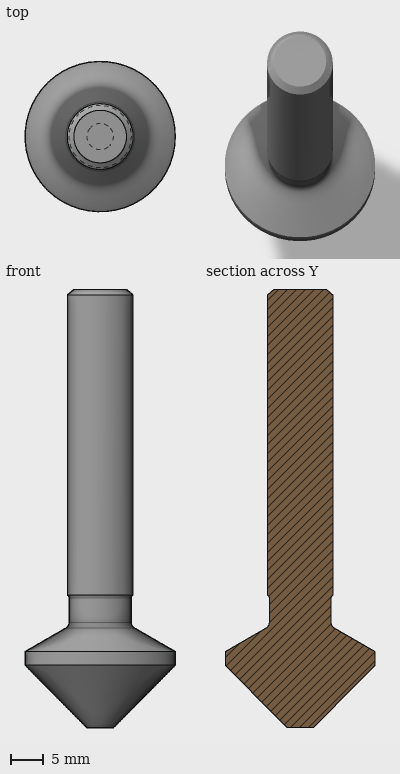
import cadquery as cq
import math

total_height = 67.0

head_radius = 23.0 / 2
tip_radius = 2.0
belt_bottom = 9.6
belt_height = 2.1
back_slope = math.radians(30)

neck_radius = 4.75
neck_top = 19.8
undercut_radius = 0.5
neck_fillet_radius = 1.0
shank_radius = 5.0

end_bevel_width = 1.0
end_bevel_height = 0.9

belt_top = belt_bottom + belt_height
cone_meets_neck = belt_top + (head_radius - neck_radius) * math.tan(back_slope)
turn_angle = math.pi / 2 - back_slope
tangent_length = neck_fillet_radius * math.tan(turn_angle / 2)
fillet_start = (
    neck_radius + tangent_length * math.cos(back_slope),
    cone_meets_neck - tangent_length * math.sin(back_slope),
)
fillet_end = (neck_radius, cone_meets_neck + tangent_length)
fillet_center = (neck_radius + neck_fillet_radius, fillet_end[1])
mid_angle = math.pi + turn_angle / 2
fillet_middle = (
    fillet_center[0] + neck_fillet_radius * math.cos(mid_angle),
    fillet_center[1] + neck_fillet_radius * math.sin(mid_angle),
)

undercut_angle = math.acos(1 - (shank_radius - neck_radius) / undercut_radius)


def undercut_point(angle):
    return (
        neck_radius + undercut_radius * (1 - math.cos(angle)),
        neck_top + undercut_radius * math.sin(angle),
    )


profile = (
    cq.Workplane("XZ")
    .moveTo(0, 0)
    .lineTo(tip_radius, 0)
    .lineTo(head_radius, belt_bottom)
    .lineTo(head_radius, belt_top)
    .lineTo(*fillet_start)
    .threePointArc(fillet_middle, fillet_end)
    .lineTo(neck_radius, neck_top)
    .threePointArc(undercut_point(undercut_angle / 2), undercut_point(undercut_angle))
    .lineTo(shank_radius, total_height - end_bevel_height)
    .lineTo(shank_radius - end_bevel_width, total_height)
    .lineTo(0, total_height)
    .close()
)
result = profile.revolve(360, (0, 0), (0, 1))